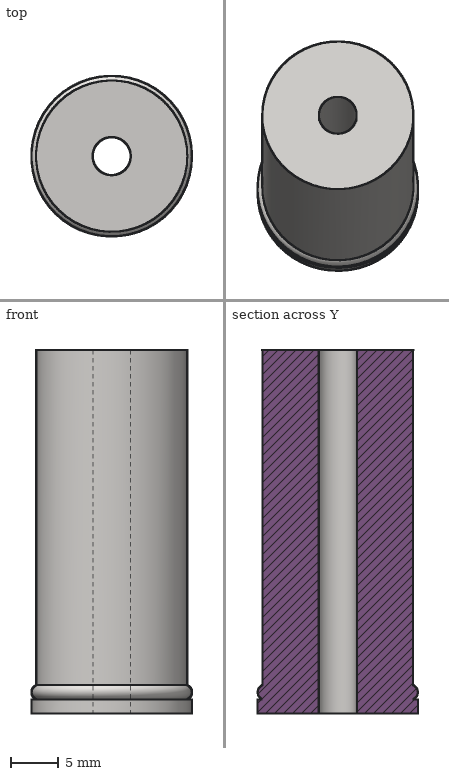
import cadquery as cq

total_height = 38.5
body_diameter = 16.0
flange_diameter = 17.0
bore_diameter = 4.0
flange_height = 1.5
bead_height = 1.5

body_radius = body_diameter / 2
flange_radius = flange_diameter / 2
bead_bottom = flange_height
bead_middle = bead_bottom + bead_height / 2
bead_top = bead_bottom + bead_height

half_profile = (
    cq.Workplane("XZ")
    .lineTo(flange_radius, 0)
    .lineTo(flange_radius, flange_height)
    .lineTo(body_radius, bead_bottom)
    .threePointArc((flange_radius, bead_middle), (body_radius, bead_top))
    .lineTo(body_radius, total_height)
    .lineTo(0, total_height)
    .close()
)
solid_body = half_profile.revolve(360, (0, 0, 0), (0, 1, 0))

bore = cq.Workplane("XY").circle(bore_diameter / 2).extrude(total_height)

result = solid_body.cut(bore)